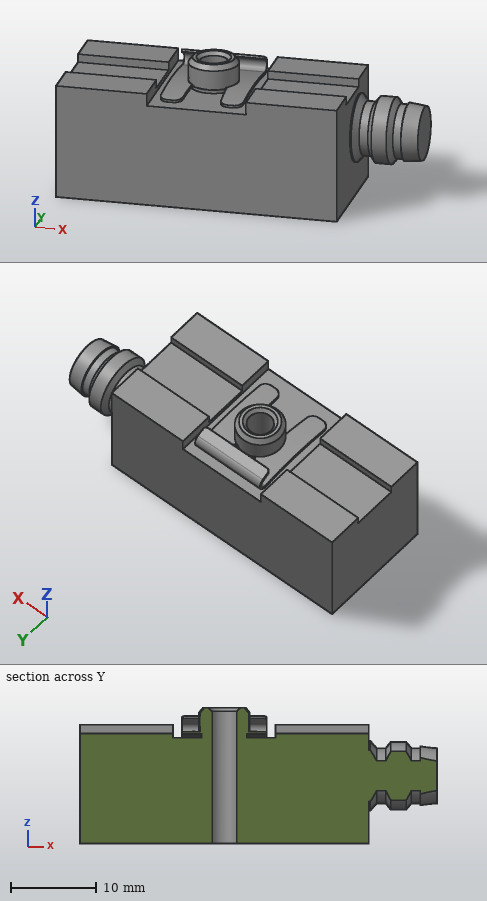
import cadquery as cq
import math

body_length = 33.98
body_width = 15.5
body_height = 14.0
cross_slot_width = 12.0
cross_slot_depth = 1.5
cross_slot_x = body_length / 2
groove_width = 6.0
groove_depth = 1.0
floor_z = body_height - cross_slot_depth

boss_y = 0.8
boss_diameter = 6.0
boss_top_diameter = 5.0
boss_neck_diameter = 5.6
boss_neck_height = 0.5
boss_top_z = 16.0
boss_chamfer_height = 0.65
bore_diameter = 3.25
bore_mouth_diameter = 4.1
bore_mouth_depth = (bore_mouth_diameter - bore_diameter) / 2

clip_width = 10.0
clip_thickness = 0.3
clip_front_y = -5.92
clip_back_y = 6.75
clip_arch_rise = 0.4
bend_radius = 1.0
lip_angle = math.radians(27)
lip_length = 1.43
lip_corner_radius = 0.5
leg_corner_radius = 1.0

leg_gap_tip_width = 4.7
leg_gap_root_width = 4.25
leg_gap_root_y = -1.55
window_width = 4.33
window_back_y = 4.65
window_side_length = 0.5
window_corner_radius = 0.38
opening_taper = 0.85

connector_y = 2.75
connector_z = 8.0
connector_end_x = 42.0
neck_radius = 6.5 / 2
flare_radius = 8.2 / 2
collar_radius = 8.0 / 2
tip_radius = 6.97 / 2
flare_rim_x = body_length + 0.15
flare_end_x = 34.9
collar_start_x = 35.95
collar_rim_start_x = 36.55
collar_rim_end_x = 38.35
collar_end_x = 38.98
tip_start_x = 40.0


def make_body():
    block = cq.Workplane("XY").box(body_length, body_width, body_height, centered=(False, True, False))
    cross_slot = (
        cq.Workplane("XY", origin=(cross_slot_x, 0, floor_z))
        .box(cross_slot_width, body_width, cross_slot_depth, centered=(True, True, False))
    )
    groove = (
        cq.Workplane("XY", origin=(0, 0, body_height - groove_depth))
        .box(body_length, groove_width, groove_depth, centered=(False, True, False))
    )
    return block.cut(cross_slot).cut(groove)


def make_connector():
    profile = [
        (body_length, 0),
        (body_length, flare_radius),
        (flare_rim_x, flare_radius),
        (flare_end_x, neck_radius),
        (collar_start_x, neck_radius),
        (collar_rim_start_x, collar_radius),
        (collar_rim_end_x, collar_radius),
        (collar_end_x, neck_radius),
        (tip_start_x, neck_radius),
        (tip_start_x, tip_radius),
        (connector_end_x, neck_radius),
        (connector_end_x, 0),
    ]
    return (
        cq.Workplane("XY", origin=(0, connector_y, connector_z))
        .polyline(profile)
        .close()
        .revolve(360, (0, 0, 0), (1, 0, 0))
    )


def make_boss():
    shoulder_z = floor_z + boss_neck_height
    profile = [
        (0, floor_z),
        (boss_neck_diameter / 2, floor_z),
        (boss_neck_diameter / 2, shoulder_z),
        (boss_diameter / 2, shoulder_z),
        (boss_diameter / 2, boss_top_z - boss_chamfer_height),
        (boss_top_diameter / 2, boss_top_z),
        (0, boss_top_z),
    ]
    return (
        cq.Workplane("XZ", origin=(cross_slot_x, boss_y, 0))
        .polyline(profile)
        .close()
        .revolve(360, (0, 0, 0), (0, 1, 0))
    )


def make_bore():
    profile = [
        (0, 0),
        (bore_diameter / 2, 0),
        (bore_diameter / 2, boss_top_z - bore_mouth_depth),
        (bore_mouth_diameter / 2, boss_top_z),
        (0, boss_top_z),
    ]
    return (
        cq.Workplane("XZ", origin=(cross_slot_x, boss_y, 0))
        .polyline(profile)
        .close()
        .revolve(360, (0, 0, 0), (0, 1, 0))
    )


def make_clip_strip():
    """Arched sheet whose back edge curls up and forward into a straight lip."""
    bend_y = clip_back_y - bend_radius
    bend_z = bend_radius
    inner_radius = bend_radius - clip_thickness
    arch_y = (clip_front_y + bend_y) / 2

    def on_bend(radius, angle):
        return (bend_y + radius * math.cos(angle), bend_z + radius * math.sin(angle))

    def lip_tip(start):
        return (start[0] - lip_length * math.cos(lip_angle), start[1] + lip_length * math.sin(lip_angle))

    lip_start_angle = math.pi / 2 - lip_angle
    outer_lip = on_bend(bend_radius, lip_start_angle)
    inner_lip = on_bend(inner_radius, lip_start_angle)
    strip = (
        cq.Workplane("YZ", origin=(cross_slot_x, 0, floor_z))
        .moveTo(clip_front_y, 0)
        .threePointArc((arch_y, clip_arch_rise), (bend_y, 0))
        .threePointArc(on_bend(bend_radius, 0), outer_lip)
        .lineTo(*lip_tip(outer_lip))
        .lineTo(*lip_tip(inner_lip))
        .lineTo(*inner_lip)
        .threePointArc(on_bend(inner_radius, 0), (bend_y, clip_thickness))
        .threePointArc((arch_y, clip_arch_rise + clip_thickness), (clip_front_y, clip_thickness))
        .close()
        .extrude(clip_width / 2, both=True)
    )
    tip_y, tip_z = lip_tip(outer_lip)
    corner_reach = clip_thickness
    tip_box = cq.selectors.BoxSelector(
        (cross_slot_x - clip_width, tip_y - corner_reach, floor_z + tip_z - corner_reach),
        (cross_slot_x + clip_width, tip_y + corner_reach, floor_z + tip_z + corner_reach),
    )
    lip_corners = strip.edges(tip_box).edges("not(|X)")
    return lip_corners.fillet(lip_corner_radius)


def make_leg_outline():
    """Plan shape of the clip: two round-ended legs, seen from above."""
    half_width = clip_width / 2
    half_tip = leg_gap_tip_width / 2
    half_root = leg_gap_root_width / 2
    half_throat = half_root - opening_taper
    throat_y = leg_gap_root_y + opening_taper
    outline = [
        (-half_width, clip_back_y),
        (-half_width, clip_front_y),
        (-half_tip, clip_front_y),
        (-half_root, leg_gap_root_y),
        (-half_throat, throat_y),
        (half_throat, throat_y),
        (half_root, leg_gap_root_y),
        (half_tip, clip_front_y),
        (half_width, clip_front_y),
        (half_width, clip_back_y),
    ]
    plan = cq.Workplane("XY", origin=(cross_slot_x, 0, floor_z)).polyline(outline).close().extrude(body_height)
    return plan.edges("|Z and <Y").fillet(leg_corner_radius)


def make_clip_window():
    half_width = window_width / 2
    side_y = window_back_y - window_side_length
    half_front = half_width - opening_taper
    outline = [
        (-half_width, window_back_y),
        (half_width, window_back_y),
        (half_width, side_y),
        (half_front, side_y - opening_taper),
        (-half_front, side_y - opening_taper),
        (-half_width, side_y),
    ]
    window_height = bend_radius
    window = cq.Workplane("XY", origin=(cross_slot_x, 0, floor_z)).polyline(outline).close().extrude(window_height)
    return window.edges("|Z and >Y").fillet(window_corner_radius)


def make_clip():
    return make_clip_strip().intersect(make_leg_outline()).cut(make_clip_window())


result = (
    make_body()
    .union(make_connector())
    .union(make_clip())
    .union(make_boss())
    .cut(make_bore())
)